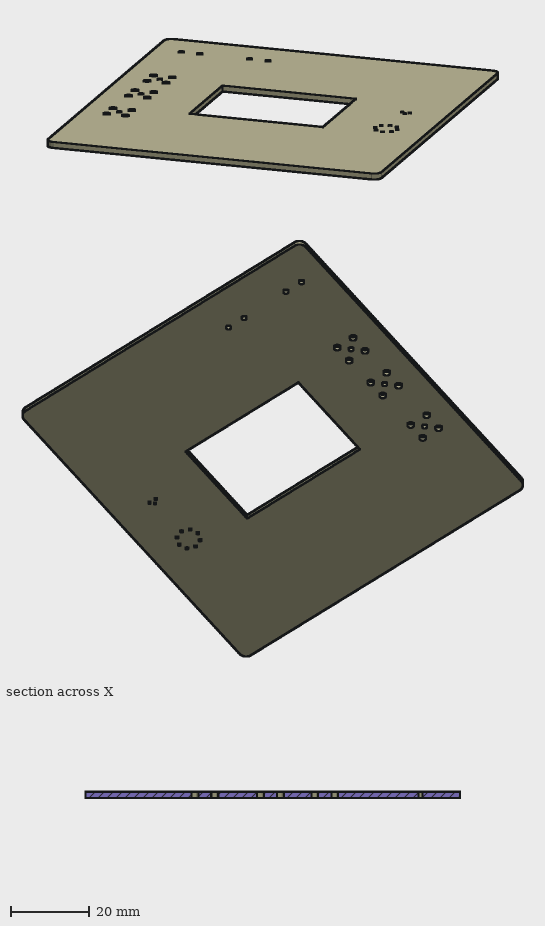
import cadquery as cq
import math

width = 90.1
length = 95.9
thickness = 1.6
corner_radius = 2.0

window_width = 36.1
window_length = 26.2

group_centers = [(-35.1, 13.3), (-35.4, -0.6), (-35.6, -17.4)]
group_pitch = 5.1
group_corner_diameter = 1.7
group_middle_diameter = 1.2

pair_pitch = 5.0
left_pair_center = (-35.1, 37.8)
left_pair_diameter = 1.3
right_pair_center = (-16.6, 37.6)
right_pair_diameter = 1.2

ring_center = (33.85, -9.2)
ring_radius = 3.0
ring_count = 8
ring_hole_diameter = 0.7

triangle_center = (34.0, 5.85)
triangle_pitch = 2.0
triangle_depth = triangle_pitch / 2
triangle_hole_diameter = 0.6


def drill(plate, center, offsets, diameter):
    """Cut through holes at the given offsets from a centre point."""
    points = [(center[0] + dx, center[1] + dy) for dx, dy in offsets]
    holes = cq.Workplane("XY").pushPoints(points).circle(diameter / 2).extrude(thickness)
    return plate.cut(holes)


plate = cq.Workplane("XY").rect(width, length).extrude(thickness)
plate = plate.edges("|Z").fillet(corner_radius)
plate = plate.cut(cq.Workplane("XY").rect(window_width, window_length).extrude(thickness))

half_group = group_pitch / 2
group_corners = [(sx * half_group, sy * half_group) for sx in (-1, 1) for sy in (-1, 1)]
for group_center in group_centers:
    plate = drill(plate, group_center, group_corners, group_corner_diameter)
    plate = drill(plate, group_center, [(0, 0)], group_middle_diameter)

pair_offsets = [(-pair_pitch / 2, 0), (pair_pitch / 2, 0)]
plate = drill(plate, left_pair_center, pair_offsets, left_pair_diameter)
plate = drill(plate, right_pair_center, pair_offsets, right_pair_diameter)

ring_angles = [2 * math.pi * i / ring_count for i in range(ring_count)]
ring_offsets = [(ring_radius * math.cos(a), ring_radius * math.sin(a)) for a in ring_angles]
plate = drill(plate, ring_center, ring_offsets, ring_hole_diameter)

triangle_offsets = [(-triangle_pitch / 2, 0), (triangle_pitch / 2, 0), (0, -triangle_depth)]
plate = drill(plate, triangle_center, triangle_offsets, triangle_hole_diameter)

result = plate